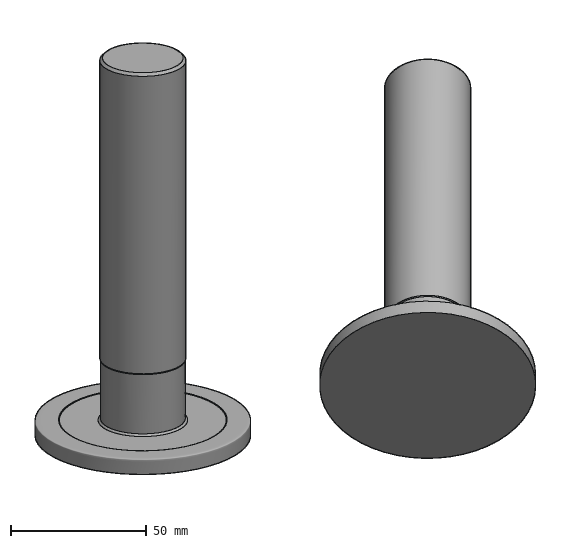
import cadquery as cq

foot_diameter = 80.0
foot_height = 6.0
foot_edge_height = 0.9
recess_depth = 0.2
recess_floor_diameter = 61.8
recess_mouth_diameter = 62.4
rim_diameter = 75.6

stem_diameter = 31.5
flare_diameter = 33.2
flare_height = 0.8

grip_diameter = 32.0
grip_bottom = 30.2
grip_top = 150.0
grip_top_chamfer = 1.0
grip_bottom_bevel_height = 0.5

recess_floor = foot_height - recess_depth


def revolve_about_z(profile):
    """Close a half profile in the XZ plane and turn it around the Z axis."""
    return profile.close().revolve(360, (0, 0, 0), (0, 1, 0))


def make_foot():
    """Disc with a shallow recess, a flat rim and a rounded upper edge."""
    radius = foot_diameter / 2
    edge_start = (radius, foot_height - foot_edge_height)
    edge_corner = (radius, foot_height)
    edge_end = (rim_diameter / 2, foot_height)
    profile = (
        cq.Workplane("XZ")
        .lineTo(radius, 0)
        .lineTo(*edge_start)
        .bezier([edge_start, edge_corner, edge_corner, edge_end])
        .lineTo(recess_mouth_diameter / 2, foot_height)
        .lineTo(recess_floor_diameter / 2, recess_floor)
        .lineTo(0, recess_floor)
    )
    return revolve_about_z(profile)


def make_stem():
    """Cylinder whose lower end flares out onto the foot."""
    radius = stem_diameter / 2
    profile = (
        cq.Workplane("XZ")
        .moveTo(0, recess_floor)
        .lineTo(flare_diameter / 2, recess_floor)
        .lineTo(radius, recess_floor + flare_height)
        .lineTo(radius, grip_bottom)
        .lineTo(0, grip_bottom)
    )
    return revolve_about_z(profile)


def make_grip():
    """Cylinder bevelled down to the stem diameter below and chamfered on top."""
    radius = grip_diameter / 2
    profile = (
        cq.Workplane("XZ")
        .moveTo(0, grip_bottom)
        .lineTo(stem_diameter / 2, grip_bottom)
        .lineTo(radius, grip_bottom + grip_bottom_bevel_height)
        .lineTo(radius, grip_top - grip_top_chamfer)
        .lineTo(radius - grip_top_chamfer, grip_top)
        .lineTo(0, grip_top)
    )
    return revolve_about_z(profile)


foot = make_foot()
stem = make_stem()
grip = make_grip()

result = cq.Compound.makeCompound([foot.val(), stem.val(), grip.val()])